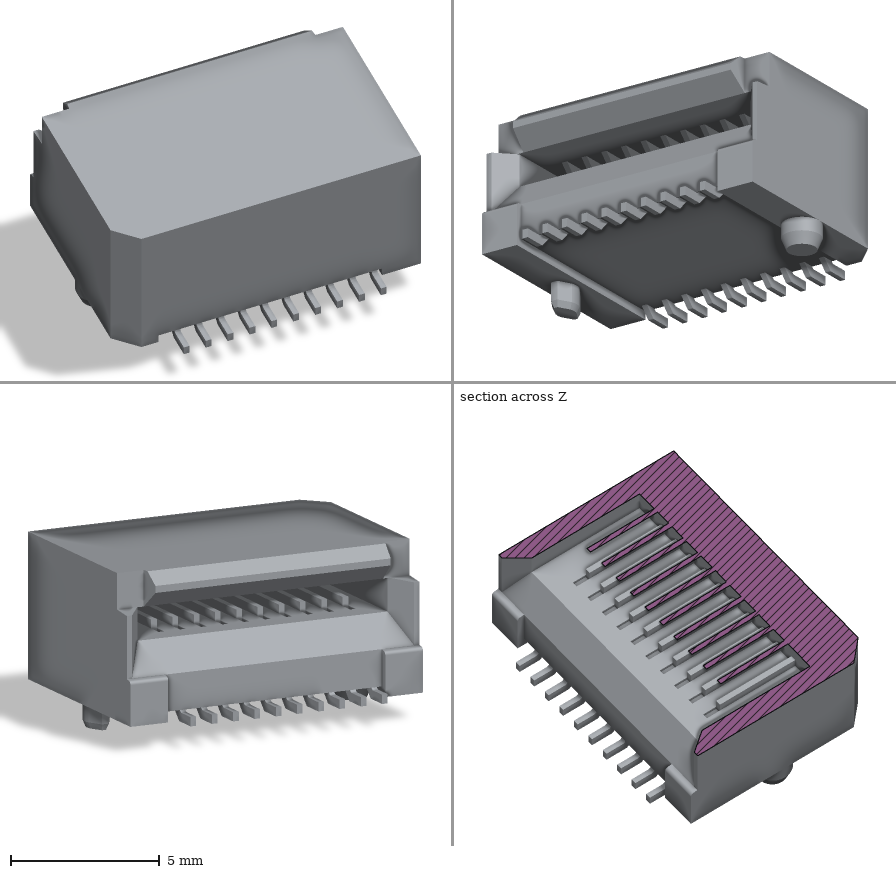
import cadquery as cq
import math

WIDTH = 11.0
HALF_WIDTH = WIDTH / 2
HALF_DEPTH = 3.71
HEIGHT = 5.1
CORNER_CHAMFER = 0.79
UNDERSIDE_RELIEF = 0.31
FOOT_INNER_Y = 4.08

FOOT_FRONT = -3.98
FOOT_TOP = 1.6
FOOT_EDGE_TOP = 1.55
FOOT_EDGE_RADIUS = 0.13

NOTCH_BACK = -2.98
SIDE_WALL_TOP = 3.77
CEILING = 3.84
LIP_TOP_FRONT = -3.21
LIP_NOSE_TOP = 4.7
LIP_NOSE_BOTTOM = 4.45
LIP_ROOT_HALF = 4.5
LIP_NOSE_HALF = 4.42

CAVITY_HALF = 4.7
CAVITY_FLOOR = 2.66
CAVITY_BACK = 1.65
MOUTH_HALF = 5.3
FUNNEL_DEPTH = 0.79

CONTACTS = 10
PITCH = 8.8 / 11
ROW_OFFSET = 0.21
LEAD_WIDTH = 0.21
LEAD_TIP = 4.5
LEAD_BOTTOM = -0.09
LEAD_THICKNESS = 0.32
LEAD_BEND = 3.76
LEAD_ANGLE = 45.0
LEAD_RISE = 0.66
LEAD_INNER_RADIUS = 0.11
LEAD_OUTER_RADIUS = 0.07
CONTACT_FRONT = -1.54
LOWER_CONTACT_TOP = 2.97
FLOOR_SLOT_FRONT = -2.09
FLOOR_SLOT_DEPTH = 0.11
UPPER_CONTACT_BOTTOM = 3.41
UPPER_NOSE = 0.08

PEG_RADIUS = 0.7
PEG_LENGTH = 0.91
PEG_Y = HALF_WIDTH - PEG_RADIUS
ROUND_PEG_STRAIGHT = 0.5
ROUND_PEG_TIP_RADIUS = 0.53
DIAMOND_TIP_HALF = 0.13
DIAMOND_SIDE_X = 0.23
DIAMOND_SIDE_Y = 0.4
DIAMOND_HALF_WIDTH = 0.44
DIAMOND_STRAIGHT = 0.68
DIAMOND_TIP_INSET = 0.1

front = -HALF_DEPTH
mouth_back = front + FUNNEL_DEPTH


def block(x0, x1, y0, y1, z0, z1):
    """Box between two opposite corners."""
    return cq.Workplane("XY").box(x1 - x0, y1 - y0, z1 - z0, centered=False).translate((x0, y0, z0))


def side_profile(points, y_centre, width):
    """Closed X-Z outline made into a slab centred on y_centre."""
    slab = cq.Workplane("XZ").polyline(points).close().extrude(width / 2, both=True)
    return slab.translate((0, y_centre, 0))


def make_shell():
    """Side outline of the housing with the sloped wall tops under the notches."""
    outline = [
        (front, 0),
        (HALF_DEPTH, 0),
        (HALF_DEPTH, HEIGHT),
        (NOTCH_BACK, HEIGHT),
        (NOTCH_BACK, CEILING),
        (front, SIDE_WALL_TOP),
    ]
    shell = side_profile(outline, 0, WIDTH)
    return shell.edges("|Z and >X and <Y").chamfer(CORNER_CHAMFER)


def make_foot(side):
    """Foot standing out of the front face, with a sloped top and a rounded front edge."""
    y_centre = side * (FOOT_INNER_Y + HALF_WIDTH) / 2
    outline = [
        (NOTCH_BACK, 0),
        (FOOT_FRONT, 0),
        (FOOT_FRONT, FOOT_EDGE_TOP),
        (front, FOOT_TOP),
        (NOTCH_BACK, FOOT_TOP),
    ]
    foot = side_profile(outline, y_centre, HALF_WIDTH - FOOT_INNER_Y)
    front_top_edge = cq.selectors.NearestToPointSelector((FOOT_FRONT, y_centre, FOOT_EDGE_TOP))
    return foot.edges(front_top_edge).fillet(FOOT_EDGE_RADIUS)


def section(half_width, floor):
    """Corners of a rectangular Y-Z section reaching up to the cavity ceiling."""
    return [(-half_width, floor), (half_width, floor), (half_width, CEILING), (-half_width, CEILING)]


def make_cavity():
    """Card cavity plus the funnel that opens its floor and sides towards the front."""
    cavity = block(mouth_back, CAVITY_BACK, -CAVITY_HALF, CAVITY_HALF, CAVITY_FLOOR, CEILING)
    mouth = section(MOUTH_HALF, FOOT_TOP)
    throat = section(CAVITY_HALF, CAVITY_FLOOR)
    funnel = (
        cq.Workplane("YZ", origin=(front, 0, 0))
        .polyline(mouth)
        .close()
        .workplane(offset=FUNNEL_DEPTH)
        .polyline(throat)
        .close()
        .loft(ruled=True)
    )
    return cavity.union(funnel)


def make_lip():
    """Pointed lip over the mouth, slightly narrower at its nose."""
    outline = [
        (NOTCH_BACK, HEIGHT),
        (LIP_TOP_FRONT, HEIGHT),
        (front, LIP_NOSE_TOP),
        (front, LIP_NOSE_BOTTOM),
        (NOTCH_BACK, CEILING),
    ]
    plan = [
        (NOTCH_BACK, -LIP_ROOT_HALF),
        (NOTCH_BACK, LIP_ROOT_HALF),
        (front, LIP_NOSE_HALF),
        (front, -LIP_NOSE_HALF),
    ]
    taper = cq.Workplane("XY").polyline(plan).close().extrude(HEIGHT)
    return side_profile(outline, 0, WIDTH).intersect(taper)


def make_lead(side, y_centre):
    """Solder lead: a flat foot bent upwards into the underside of the housing."""
    top = LEAD_BOTTOM + LEAD_THICKNESS
    run = LEAD_RISE / math.tan(math.radians(LEAD_ANGLE))
    bend_shift = LEAD_THICKNESS * math.tan(math.radians(LEAD_ANGLE / 2))
    lower_bend = LEAD_BEND - bend_shift
    outline = [
        (side * LEAD_TIP, LEAD_BOTTOM),
        (side * LEAD_TIP, top),
        (side * LEAD_BEND, top),
        (side * (LEAD_BEND - run), top + LEAD_RISE),
        (side * (lower_bend - run), LEAD_BOTTOM + LEAD_RISE),
        (side * lower_bend, LEAD_BOTTOM),
    ]
    lead = side_profile(outline, y_centre, LEAD_WIDTH)
    inner = cq.selectors.NearestToPointSelector((side * LEAD_BEND, y_centre, top))
    outer = cq.selectors.NearestToPointSelector((side * lower_bend, y_centre, LEAD_BOTTOM))
    return lead.edges(inner).fillet(LEAD_INNER_RADIUS).edges(outer).fillet(LEAD_OUTER_RADIUS)


def make_upper_contact(y_centre):
    """Contact below the cavity ceiling with a sloped leading face."""
    drop = CEILING - UPPER_CONTACT_BOTTOM - UPPER_NOSE
    outline = [
        (CONTACT_FRONT, CEILING),
        (CONTACT_FRONT + drop, CEILING - drop),
        (CONTACT_FRONT + drop, UPPER_CONTACT_BOTTOM),
        (CAVITY_BACK, UPPER_CONTACT_BOTTOM),
        (CAVITY_BACK, CEILING),
    ]
    return side_profile(outline, y_centre, LEAD_WIDTH)


def make_round_peg():
    """Round peg with a conical tip."""
    profile = [
        (0, 0),
        (PEG_RADIUS, 0),
        (PEG_RADIUS, -ROUND_PEG_STRAIGHT),
        (ROUND_PEG_TIP_RADIUS, -PEG_LENGTH),
        (0, -PEG_LENGTH),
    ]
    peg = cq.Workplane("XZ").polyline(profile).close().revolve(360, (0, 0), (0, 1))
    return peg.translate((0, -PEG_Y, 0))


def make_diamond_peg():
    """Diamond peg: round tips along X, flats, softly curved sides and a tapered end."""
    tip_x = math.sqrt(PEG_RADIUS**2 - DIAMOND_TIP_HALF**2)
    outline = (
        cq.Workplane("XY")
        .moveTo(tip_x, -DIAMOND_TIP_HALF)
        .threePointArc((PEG_RADIUS, 0), (tip_x, DIAMOND_TIP_HALF))
        .lineTo(DIAMOND_SIDE_X, DIAMOND_SIDE_Y)
        .threePointArc((0, DIAMOND_HALF_WIDTH), (-DIAMOND_SIDE_X, DIAMOND_SIDE_Y))
        .lineTo(-tip_x, DIAMOND_TIP_HALF)
        .threePointArc((-PEG_RADIUS, 0), (-tip_x, -DIAMOND_TIP_HALF))
        .lineTo(-DIAMOND_SIDE_X, -DIAMOND_SIDE_Y)
        .threePointArc((0, -DIAMOND_HALF_WIDTH), (DIAMOND_SIDE_X, -DIAMOND_SIDE_Y))
        .close()
    )
    tip_length = PEG_LENGTH - DIAMOND_STRAIGHT
    tip_angle = math.degrees(math.atan2(DIAMOND_TIP_INSET, tip_length))
    shank = outline.extrude(-DIAMOND_STRAIGHT)
    tip_base = shank.faces("<Z").wires().toPending().workplane()
    tip = tip_base.extrude(tip_length, taper=tip_angle, combine=False)
    peg = shank.union(tip)
    return peg.translate((0, PEG_Y, 0))


result = make_shell()
result = result.cut(block(front, HALF_DEPTH, -FOOT_INNER_Y, FOOT_INNER_Y, 0, UNDERSIDE_RELIEF))
for side in (-1, 1):
    result = result.union(make_foot(side))
result = result.cut(make_cavity()).union(make_lip())
slot_bottom = CAVITY_FLOOR - FLOOR_SLOT_DEPTH

for index in range(CONTACTS):
    row_y = (index - (CONTACTS - 1) / 2) * PITCH
    lower_y = row_y - ROW_OFFSET
    upper_y = row_y + ROW_OFFSET
    slot_sides = (lower_y - LEAD_WIDTH / 2, lower_y + LEAD_WIDTH / 2)
    result = result.cut(block(FLOOR_SLOT_FRONT, CONTACT_FRONT, *slot_sides, slot_bottom, CAVITY_FLOOR))
    result = result.union(block(CONTACT_FRONT, CAVITY_BACK, *slot_sides, slot_bottom, LOWER_CONTACT_TOP))
    result = result.union(make_upper_contact(upper_y))
    result = result.union(make_lead(-1, lower_y)).union(make_lead(1, upper_y))

result = result.union(make_round_peg()).union(make_diamond_peg())